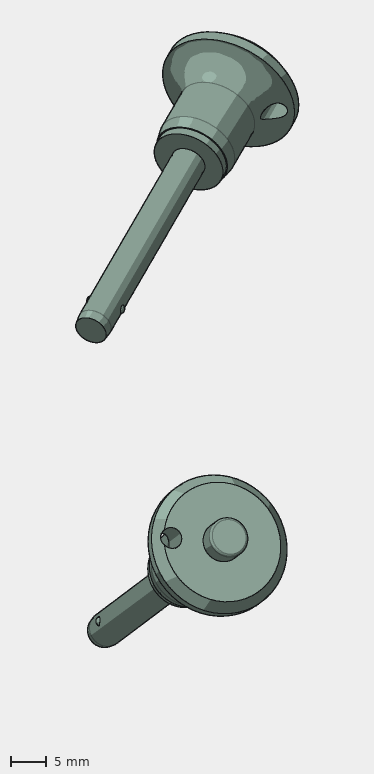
import cadquery as cq

total_length = 56.7
flange_diameter = 20.0
flange_radius = flange_diameter / 2

shank_radius = 2.5
tip_radius = 2.3
tip_length = 1.4

ball_radius = 0.75
ball_protrusion = 0.35
ball_distance_from_tip = 5.45

button_radius = 2.85
button_length = 3.1
button_edge_radius = 0.35

flange_back_radius = 8.6
bevel_length = 1.35
rim_length = 1.6
body_radius = 5.7
body_length = 7.3
taper_end_radius = 5.4
taper_length = 1.85
collar_radius = 5.2
collar_length = 1.25

lanyard_hole_diameter = 3.0
lanyard_hole_offset = 7.5

flange_back_y = total_length - button_length
bevel_end_y = flange_back_y - bevel_length
rim_end_y = bevel_end_y - rim_length
flare_radius = flange_radius - body_radius
flare_end_y = rim_end_y - flare_radius
body_end_y = flare_end_y - body_length
taper_end_y = body_end_y - taper_length
collar_end_y = taper_end_y - collar_length


def make_revolved_body():
    """Shank, handle and button as one profile turned about the Y axis."""
    diagonal = flare_radius * 0.5 ** 0.5
    flare_midpoint = (flange_radius - diagonal, flare_end_y + diagonal)
    return (
        cq.Workplane("XY")
        .moveTo(0, 0)
        .lineTo(tip_radius, 0)
        .lineTo(shank_radius, tip_length)
        .lineTo(shank_radius, collar_end_y)
        .lineTo(collar_radius, collar_end_y)
        .lineTo(collar_radius, taper_end_y)
        .lineTo(taper_end_radius, taper_end_y)
        .lineTo(body_radius, body_end_y)
        .lineTo(body_radius, flare_end_y)
        .threePointArc(flare_midpoint, (flange_radius, rim_end_y))
        .lineTo(flange_radius, bevel_end_y)
        .lineTo(flange_back_radius, flange_back_y)
        .lineTo(button_radius, flange_back_y)
        .lineTo(button_radius, total_length - button_edge_radius)
        .radiusArc((button_radius - button_edge_radius, total_length), -button_edge_radius)
        .lineTo(0, total_length)
        .close()
        .revolve(360, (0, 0), (0, 1))
    )


def make_ball(side):
    """Locking ball standing proud of the shank on the +X or -X side."""
    centre_x = side * (shank_radius + ball_protrusion - ball_radius)
    return cq.Workplane("XY").sphere(ball_radius).translate((centre_x, ball_distance_from_tip, 0))


def make_lanyard_hole():
    """Cutter parallel to the pin, running through the flange and its flare."""
    return (
        cq.Workplane("XZ", origin=(lanyard_hole_offset, flange_back_y, 0))
        .circle(lanyard_hole_diameter / 2)
        .extrude(flange_back_y - collar_end_y)
    )


result = make_revolved_body().cut(make_lanyard_hole())
for side in (-1, 1):
    result = result.union(make_ball(side))